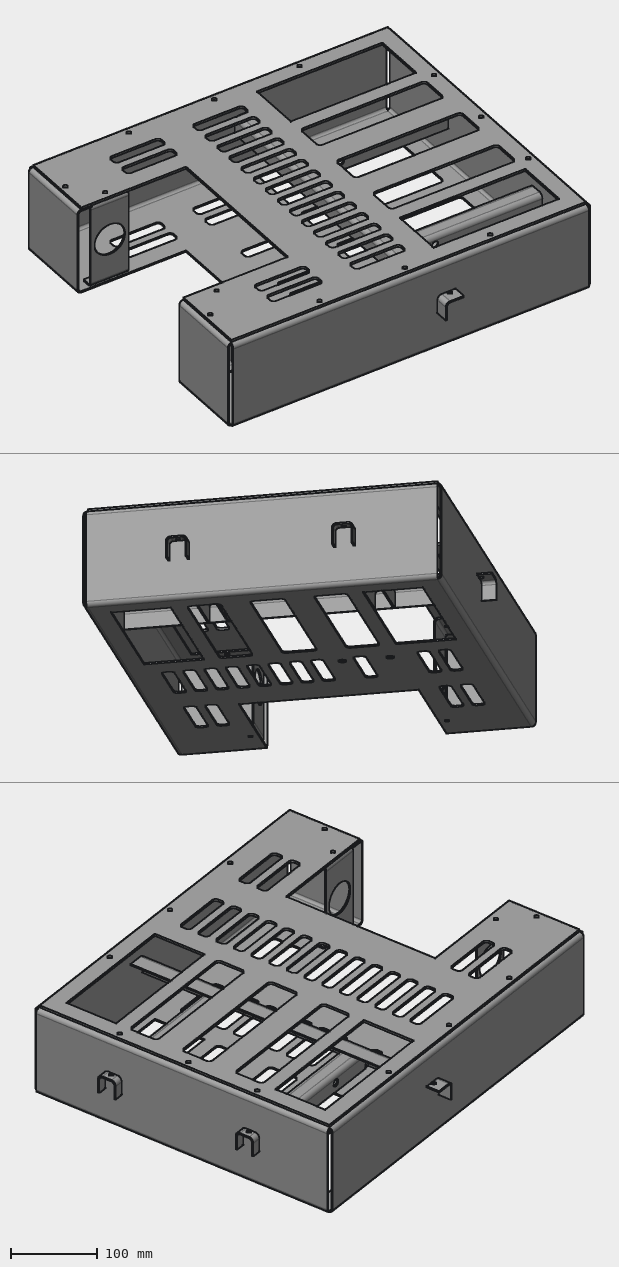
import cadquery as cq
SHEET = 2.0
BEND = 5.5
LID_THICK = 3.0
LID_INSET = BEND
TOTAL_HEIGHT = 121.0
TRAY_HEIGHT = TOTAL_HEIGHT - LID_THICK

TRAY_WIDTH = 423.0
TRAY_FRONT = -256.0
TRAY_BACK = 244.0
TRAY_DEPTH = TRAY_BACK - TRAY_FRONT
TRAY_MID_Y = (TRAY_FRONT + TRAY_BACK) / 2
FLANGE_WIDTH = 20.5
CORNER_RELIEF = 4.5

NOTCH_WIDTH = 212.0
NOTCH_BACK = -106.0
CUT_MARGIN = 5.0

SLOT_PITCH = 25.0
SLOT_WIDTH = 15.0
SLOT_LENGTH = 70.0
SLOT_RADIUS = 5.0
SLOTS_PER_ROW = 14
LONG_ROW_Y = -20.5
SHORT_ROW_Y = -135.0
FLOOR_CLOSED_SLOTS = (2, 3, 5)
PAIR_SIZE = 2

WINDOW_FRONT = 43.5
WINDOW_BACK = 216.5
CENTRE_WINDOW_WIDTH = 41.0
INNER_WINDOW = (75.0, 39.5)
OUTER_WINDOW = (148.5, 70.5)

FLOOR_HOLE_DIAMETER = 9.0
FLOOR_HOLE_Y = 4.0
FLOOR_HOLES_X = (-97.5, -41.0)

SCREW_DIAMETER = 5.5
SCREW_EDGE = 13.5
SIDE_SCREW_PITCH = 118.0
FRONT_SCREW_X = 150.5

RAIL_SIZE = 25.0
RAIL_BEND = 6.0
RAIL_HOLE_DIAMETER = 5.5
ANGLE_LENGTH = 457.0
ANGLE_FRONT = 30.0
ANGLE_TOP = 75.0
ANGLE_HOLE_X = 214.0
CHANNEL_X = 98.0
CHANNEL_BACK = 256.0
CHANNEL_TOP = ANGLE_TOP - SHEET
CHANNEL_HOLE_Y = 247.5
LEG_HOLE_Y = 94.0
LEG_HOLE_DIAMETER = 9.0

BRACKET_LENGTH = 52.0
BRACKET_Y = -211.0
BRACKET_DEPTH = 15.5
BRACKET_HOLE_DIAMETER = 42.0
TAB_HOLE_DIAMETER = 5.0
TAB_HOLE_X = 115.5


def block(x_size, y_size, z_size, x_mid, y_mid, z_bottom):
    """Box centred on (x_mid, y_mid) and standing on z_bottom."""
    return cq.Workplane(origin=(x_mid, y_mid, z_bottom)).box(x_size, y_size, z_size, centered=(True, True, False))


def through_cutter(x_size, y_size, x_mid, y_mid):
    """Upright cutter taller than the whole assembly."""
    return block(x_size, y_size, TOTAL_HEIGHT + 2 * CUT_MARGIN, x_mid, y_mid, -CUT_MARGIN)


def round_cutters(points, diameter, z_bottom=-CUT_MARGIN):
    """Upright drills from z_bottom to above the whole assembly."""
    drills = cq.Workplane().workplane(offset=z_bottom).pushPoints(points).circle(diameter / 2)
    return drills.extrude(TOTAL_HEIGHT + CUT_MARGIN - z_bottom)


def folded_block(width, depth, height, radius, z_bottom):
    """Block on the tray's centre with all its horizontal edges rounded."""
    return block(width, depth, height, 0, TRAY_MID_Y, z_bottom).edges("|X or |Y").fillet(radius)


def slot_x(index):
    return (index - (SLOTS_PER_ROW - 1) / 2) * SLOT_PITCH


def slot(index, y_mid):
    return through_cutter(SLOT_WIDTH, SLOT_LENGTH, slot_x(index), y_mid).edges("|Z").fillet(SLOT_RADIUS)


def cut_slots(body, closed=()):
    """Cut the full row, except the closed places, and the pairs beside the notch."""
    for index in range(SLOTS_PER_ROW):
        if index not in closed:
            body = body.cut(slot(index, LONG_ROW_Y))
        if index < PAIR_SIZE or index >= SLOTS_PER_ROW - PAIR_SIZE:
            body = body.cut(slot(index, SHORT_ROW_Y))
    return body


def window(x_mid, width):
    return through_cutter(width, WINDOW_BACK - WINDOW_FRONT, x_mid, (WINDOW_FRONT + WINDOW_BACK) / 2)


def cut_windows(body):
    body = body.cut(window(0, CENTRE_WINDOW_WIDTH).edges("|Z").fillet(SLOT_RADIUS))
    for side in (-1, 1):
        inner_x, inner_width = INNER_WINDOW
        outer_x, outer_width = OUTER_WINDOW
        body = body.cut(window(side * inner_x, inner_width).edges("|Z").fillet(SLOT_RADIUS))
        body = body.cut(window(side * outer_x, outer_width))
    return body


def cut_notch(body):
    length = NOTCH_BACK - TRAY_FRONT + CUT_MARGIN
    return body.cut(through_cutter(NOTCH_WIDTH, length, 0, NOTCH_BACK - length / 2))


def lid_screw_points():
    back_y = TRAY_BACK - SCREW_EDGE
    side_x = TRAY_WIDTH / 2 - SCREW_EDGE
    points = [(x, back_y) for x in (-CHANNEL_X, 0, CHANNEL_X)]
    for side in (-1, 1):
        points += [(side * side_x, TRAY_MID_Y + row * SIDE_SCREW_PITCH) for row in (-1, 0, 1)]
        points.append((side * FRONT_SCREW_X, TRAY_FRONT + SCREW_EDGE))
    return points


TAB_HOLES = round_cutters([(side * TAB_HOLE_X, BRACKET_Y) for side in (-1, 1)], TAB_HOLE_DIAMETER)


def make_angle():
    """L-section rail across the tray."""
    back = ANGLE_FRONT + RAIL_SIZE
    bottom = ANGLE_TOP - RAIL_SIZE
    section = (
        cq.Workplane("YZ", origin=(-ANGLE_LENGTH / 2, 0, 0))
        .moveTo(back, ANGLE_TOP)
        .lineTo(ANGLE_FRONT, ANGLE_TOP)
        .lineTo(ANGLE_FRONT, bottom)
        .lineTo(ANGLE_FRONT + SHEET, bottom)
        .lineTo(ANGLE_FRONT + SHEET, ANGLE_TOP - SHEET)
        .lineTo(back, ANGLE_TOP - SHEET)
        .close()
        .extrude(ANGLE_LENGTH)
    )
    outer = cq.selectors.NearestToPointSelector((0, ANGLE_FRONT, ANGLE_TOP))
    inner = cq.selectors.NearestToPointSelector((0, ANGLE_FRONT + SHEET, ANGLE_TOP - SHEET))
    rail = section.edges(outer).fillet(RAIL_BEND).edges(inner).fillet(RAIL_BEND - SHEET)
    hole_y = ANGLE_FRONT + (RAIL_SIZE + RAIL_BEND) / 2
    return rail.cut(round_cutters([(-ANGLE_HOLE_X, hole_y), (ANGLE_HOLE_X, hole_y)], RAIL_HOLE_DIAMETER))


def make_channel(x_mid):
    """Inverted U-section rail from the angle's upright leg out through the back wall."""
    front = ANGLE_FRONT + RAIL_BEND
    length = CHANNEL_BACK - front
    y_mid = (CHANNEL_BACK + front) / 2
    bottom = CHANNEL_TOP - RAIL_SIZE
    outside = block(RAIL_SIZE, length, RAIL_SIZE, x_mid, y_mid, bottom).edges("|Y and >Z").fillet(RAIL_BEND)
    inside = block(RAIL_SIZE - 2 * SHEET, length, RAIL_SIZE - SHEET, x_mid, y_mid, bottom)
    rail = outside.cut(inside.edges("|Y and >Z").fillet(RAIL_BEND - SHEET))
    leg_hole = (
        cq.Workplane("YZ", origin=(x_mid - RAIL_SIZE, 0, 0))
        .center(LEG_HOLE_Y, bottom + RAIL_SIZE / 2)
        .circle(LEG_HOLE_DIAMETER / 2)
        .extrude(2 * RAIL_SIZE)
    )
    return rail.cut(leg_hole).cut(round_cutters([(x_mid, CHANNEL_HOLE_Y)], RAIL_HOLE_DIAMETER))


def make_bracket(side):
    """C-section closing the tray beside the notch, with its tabs pointing away from the notch."""
    height = TRAY_HEIGHT - SHEET
    panel_x = NOTCH_WIDTH / 2
    outside = block(BRACKET_DEPTH, BRACKET_LENGTH, height, panel_x + BRACKET_DEPTH / 2, BRACKET_Y, SHEET)
    inside = block(
        BRACKET_DEPTH, BRACKET_LENGTH, height - 2 * SHEET, panel_x + SHEET + BRACKET_DEPTH / 2, BRACKET_Y, 2 * SHEET
    )
    bracket = outside.edges("|Y and <X").fillet(BEND).cut(inside.edges("|Y and <X").fillet(BEND - SHEET))
    panel_hole = (
        cq.Workplane("YZ", origin=(panel_x - CUT_MARGIN, 0, 0))
        .center(BRACKET_Y, SHEET + height / 2)
        .circle(BRACKET_HOLE_DIAMETER / 2)
        .extrude(BRACKET_DEPTH)
    )
    bracket = bracket.cut(panel_hole)
    if side < 0:
        bracket = bracket.mirror("YZ")
    return bracket.cut(TAB_HOLES)


def make_lid():
    plate = block(TRAY_WIDTH - 2 * LID_INSET, TRAY_DEPTH - 2 * LID_INSET, LID_THICK, 0, TRAY_MID_Y, TRAY_HEIGHT)
    plate = cut_notch(cut_windows(cut_slots(plate)))
    return plate.cut(round_cutters(lid_screw_points(), SCREW_DIAMETER)).cut(TAB_HOLES)


def make_tray(rails):
    """Folded floor, walls and top flanges, with openings where the rails pass through."""
    outside = folded_block(TRAY_WIDTH, TRAY_DEPTH, TRAY_HEIGHT, BEND, 0)
    inside = folded_block(
        TRAY_WIDTH - 2 * SHEET, TRAY_DEPTH - 2 * SHEET, TRAY_HEIGHT - 2 * SHEET, BEND - SHEET, SHEET
    )
    tray = cut_notch(cut_windows(cut_slots(outside.cut(inside), FLOOR_CLOSED_SLOTS)))
    tray = tray.cut(round_cutters(lid_screw_points(), SCREW_DIAMETER, TRAY_HEIGHT / 2)).cut(TAB_HOLES)
    tray = tray.cut(round_cutters([(x, FLOOR_HOLE_Y) for x in FLOOR_HOLES_X], FLOOR_HOLE_DIAMETER))
    top_opening = block(
        TRAY_WIDTH - 2 * FLANGE_WIDTH, TRAY_DEPTH - 2 * FLANGE_WIDTH, TRAY_HEIGHT, 0, TRAY_MID_Y, TRAY_HEIGHT / 2
    )
    tray = tray.cut(top_opening)
    for x in (-TRAY_WIDTH / 2, TRAY_WIDTH / 2):
        for y in (TRAY_FRONT, TRAY_BACK):
            tray = tray.cut(through_cutter(2 * CORNER_RELIEF, 2 * CORNER_RELIEF, x, y))
    for rail in rails:
        tray = tray.cut(rail)
    return tray


angle = make_angle()
channels = [make_channel(side * CHANNEL_X) for side in (-1, 1)]
brackets = [make_bracket(side) for side in (-1, 1)]
lid = make_lid()
tray = make_tray([angle] + channels)

result = cq.Compound.makeCompound(
    [tray.val(), lid.val(), angle.val()] + [channel.val() for channel in channels] + [b.val() for b in brackets]
)